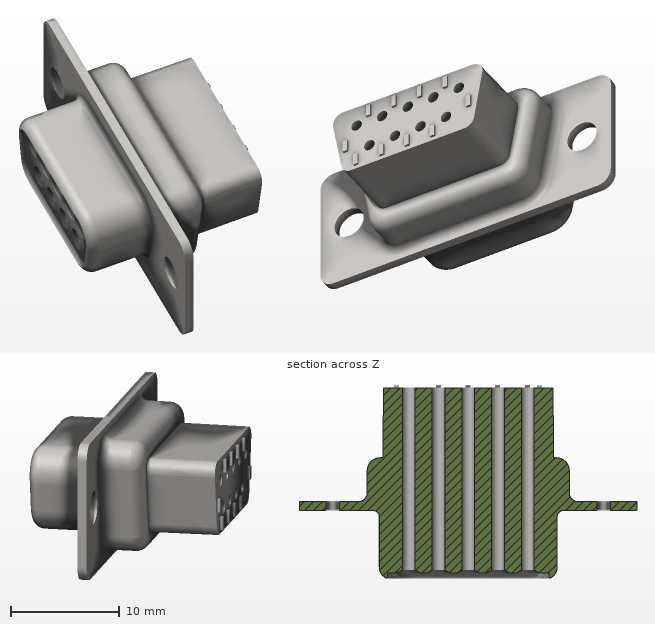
import cadquery as cq
import math


plate_width = 31.2
plate_height = 12.95
plate_thickness = 0.87
plate_corner_radius = 1.45
screw_hole_diameter = 3.12
screw_hole_spacing = 25.0

side_angle = 10.0

shell_length = 6.27
shell_mid_width = 16.1
shell_height = 8.0
shell_corner_radius = 2.62
shell_root_fillet = 0.5
shell_nose_fillet = 1.12
lip_width = 0.8
face_recess = 0.5

housing_length = 4.05
housing_mid_width = 18.2
housing_height = 10.73
housing_corner_radius = 2.0
housing_root_fillet = 0.75
housing_end_fillet = 1.25

insert_length = 6.43
insert_mid_width = 15.28
insert_height = 7.25
insert_corner_radius = 1.12
insert_draft = 0.3

contact_pitch = 2.75
contact_row_spacing = 2.87
upper_contact_count = 5
lower_contact_count = 4
contact_hole_radius = 0.55
contact_entry_radius = 1.05
contact_entry_depth = 0.28

pad_width = 0.47
pad_height = 1.22
pad_thickness = 0.25
pad_upper_z = 2.55
pad_middle_z = -0.65
pad_lower_z = -2.62
pad_edge_offset = 6.6

housing_end = plate_thickness + housing_length
insert_end = housing_end + insert_length
lip_drop = shell_nose_fillet - math.sqrt(shell_nose_fillet**2 - (shell_nose_fillet - lip_width)**2)
shell_blank_length = shell_length + lip_drop
contact_face = -shell_length + face_recess


def plane_at(y):
    """Sketch plane at y: sketch x runs along X, sketch y along Z, and extrusion goes toward -Y."""
    return cq.Workplane("XZ", origin=(0, y, 0))


def d_outline(y, mid_width, height, corner_radius):
    """Rounded D outline, symmetric about X = 0; mid_width is its width at Z = 0."""
    half_height = height / 2
    lean = half_height * math.tan(math.radians(side_angle))
    top_x = mid_width / 2 + lean
    bottom_x = mid_width / 2 - lean
    corners = [
        (-top_x, half_height),
        (top_x, half_height),
        (bottom_x, -half_height),
        (-bottom_x, -half_height),
    ]
    sketch = cq.Sketch().polygon(corners + corners[:1]).vertices().fillet(corner_radius)
    return plane_at(y).placeSketch(sketch)


def make_plate():
    plate = plane_at(0).rect(plate_width, plate_height).extrude(-plate_thickness)
    return plate.edges("|Y").fillet(plate_corner_radius)


def make_shell():
    shell = d_outline(0, shell_mid_width, shell_height, shell_corner_radius).extrude(shell_blank_length)
    return shell.faces("<Y").edges().fillet(shell_nose_fillet)


def make_housing():
    housing = d_outline(plate_thickness, housing_mid_width, housing_height, housing_corner_radius)
    return housing.extrude(-housing_length).faces(">Y").edges().fillet(housing_end_fillet)


def make_insert():
    insert = d_outline(housing_end, insert_mid_width, insert_height, insert_corner_radius)
    return insert.extrude(-insert_length, taper=insert_draft)


def make_face_recess():
    """Pocket that sinks the contact face behind the lip of the shell."""
    inner_width = shell_mid_width - 2 * lip_width / math.cos(math.radians(side_angle))
    inner_height = shell_height - 2 * lip_width
    inner_radius = shell_corner_radius - lip_width
    return d_outline(contact_face, inner_width, inner_height, inner_radius).extrude(shell_blank_length)


def row_positions(count, z):
    return [((i - (count - 1) / 2) * contact_pitch, z) for i in range(count)]


def make_contact_hole(x, z):
    """Through hole with a conical entry, revolved about its own axis along Y."""
    profile = [
        (0, contact_face),
        (contact_entry_radius, contact_face),
        (contact_hole_radius, contact_face + contact_entry_depth),
        (contact_hole_radius, insert_end),
        (0, insert_end),
    ]
    hole = cq.Workplane("XY").polyline(profile).close().revolve(360, (0, 0, 0), (0, 1, 0))
    return hole.translate((x, 0, z))


def make_pads():
    """Pads between the upper contacts, beside the lower ones, and at both ends of the middle level."""
    upper_places = row_positions(upper_contact_count - 1, pad_upper_z)
    lower_row_places = row_positions(lower_contact_count, pad_lower_z)
    lower_places = [(x + contact_pitch / 2, z) for x, z in lower_row_places]
    middle_places = [(-pad_edge_offset, pad_middle_z), (pad_edge_offset, pad_middle_z)]
    pads = plane_at(insert_end).pushPoints(upper_places + middle_places + lower_places)
    return pads.rect(pad_width, pad_height).extrude(-pad_thickness)


def join_to_plate(body, feature, root_y, root_fillet):
    """Join a feature to the plate and round the inside corner at root_y."""
    inner_x = plate_width / 2 - plate_corner_radius
    inner_z = plate_height / 2 - housing_root_fillet / 4
    reach = root_fillet / 2
    root_zone = cq.selectors.BoxSelector(
        (-inner_x, root_y - reach, -inner_z),
        (inner_x, root_y + reach, inner_z),
    )
    return body.union(feature).edges(root_zone).fillet(root_fillet)


body = make_plate()
body = join_to_plate(body, make_shell(), 0, shell_root_fillet)
body = join_to_plate(body, make_housing(), plate_thickness, housing_root_fillet)
body = body.union(make_insert())

body = body.cut(make_face_recess())
upper_row = row_positions(upper_contact_count, contact_row_spacing / 2)
lower_row = row_positions(lower_contact_count, -contact_row_spacing / 2)
for contact_x, contact_z in upper_row + lower_row:
    body = body.cut(make_contact_hole(contact_x, contact_z))

screw_places = [(-screw_hole_spacing / 2, 0), (screw_hole_spacing / 2, 0)]
screw_holes = plane_at(0).pushPoints(screw_places).circle(screw_hole_diameter / 2).extrude(-plate_thickness)
body = body.cut(screw_holes)

result = body.union(make_pads())